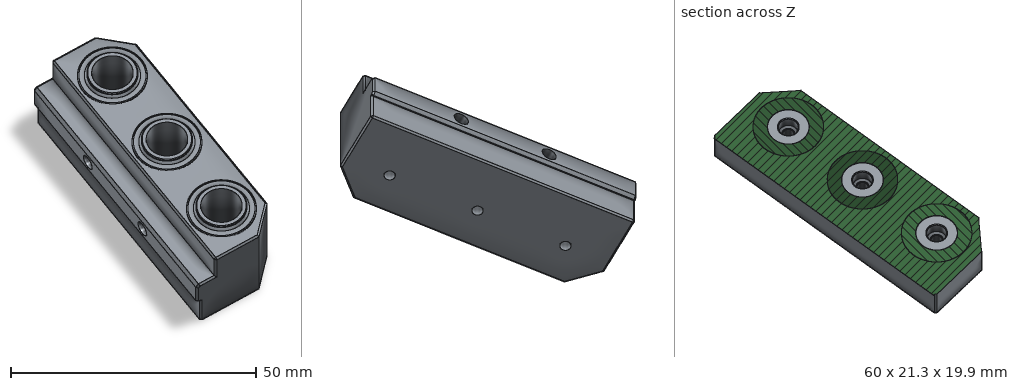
import cadquery as cq

length = 60.0
depth = 21.25
block_height = 19.0
edge_chamfer = 0.4
corner_cut = 6.0
front_y = -depth / 2
back_y = depth / 2

upper_setback = 4.5
lower_setback = 0.9
upper_front_y = front_y + upper_setback
lower_front_y = front_y + lower_setback
rail_bottom = 7.0
rail_top = 13.0
rail_chamfer = 0.65

bushing_pitch = length / 3
bushing_inset = 8.5
bushing_y = back_y - bushing_inset
flange_diameter = 14.3
flange_chamfer = 0.3
collar_base_diameter = 11.45
collar_diameter = 10.45
collar_height = 0.95
collar_cone_height = (collar_base_diameter - collar_diameter) / 2
rim_chamfer = 0.2
bore_diameter = 8.45
bushing_depth = 12.0

counterbore_diameter = 4.1
counterbore_depth = 2.4
through_diameter = 2.3
hole_chamfer = 0.2

cross_hole_diameter = 3.2
cross_hole_z = (rail_bottom + rail_top) / 2

bushing_x_positions = [-bushing_pitch, 0.0, bushing_pitch]
cross_hole_x_positions = [-bushing_pitch / 2, bushing_pitch / 2]
pocket_floor_z = block_height - bushing_depth


def revolve_at_bushing(section, x):
    """Revolve a (radius, z) section about the axis of the bushing at x."""
    solid = cq.Workplane("XZ").polyline(section).close().revolve(360, (0, 0, 0), (0, 1, 0))
    return solid.translate((x, bushing_y, 0))


def make_block_blank():
    """Stepped side profile extruded along X, with cut corners and chamfered edges."""
    outline = [
        (back_y, 0),
        (back_y, block_height),
        (upper_front_y, block_height),
        (upper_front_y, rail_top),
        (front_y, rail_top),
        (front_y, rail_bottom),
        (lower_front_y, rail_bottom),
        (lower_front_y, 0),
    ]
    blank = cq.Workplane("YZ").polyline(outline).close().extrude(length / 2, both=True)

    blank = blank.edges("|Z and >Y").chamfer(corner_cut)

    blank = blank.faces("<Y").edges("|X").chamfer(rail_chamfer)

    rims = blank.faces(">Z or <Z").edges()
    ends = blank.faces("<X or >X").edges("not(|Z and >Y)")
    return rims.add(ends).chamfer(edge_chamfer)


def make_bushing_pocket(x):
    """Pocket for a bushing, with a counterbore and a through hole in its floor."""
    pocket_radius = flange_diameter / 2
    counterbore_radius = counterbore_diameter / 2
    through_radius = through_diameter / 2
    counterbore_floor_z = pocket_floor_z - counterbore_depth
    section = [
        (0, 0),
        (through_radius, 0),
        (through_radius, counterbore_floor_z - hole_chamfer),
        (through_radius + hole_chamfer, counterbore_floor_z),
        (counterbore_radius, counterbore_floor_z),
        (counterbore_radius, pocket_floor_z - hole_chamfer),
        (counterbore_radius + hole_chamfer, pocket_floor_z),
        (pocket_radius, pocket_floor_z),
        (pocket_radius, block_height),
        (0, block_height),
    ]
    return revolve_at_bushing(section, x)


def make_cross_hole(x):
    """Hole through the whole depth of the block at x."""
    start = cq.Workplane("XZ", origin=(x, back_y, cross_hole_z))
    return start.circle(cross_hole_diameter / 2).extrude(depth)


def make_block():
    block = make_block_blank()
    for x in bushing_x_positions:
        block = block.cut(make_bushing_pocket(x))
    for x in cross_hole_x_positions:
        block = block.cut(make_cross_hole(x))
    return block


def make_bushing(x):
    """Sleeve sunk flush into the block, with a raised conical collar round its bore."""
    rim_z = block_height + collar_height
    section = [
        (bore_diameter / 2, pocket_floor_z),
        (flange_diameter / 2, pocket_floor_z),
        (flange_diameter / 2, block_height - flange_chamfer),
        (flange_diameter / 2 - flange_chamfer, block_height),
        (collar_base_diameter / 2, block_height),
        (collar_diameter / 2, block_height + collar_cone_height),
        (collar_diameter / 2, rim_z - rim_chamfer),
        (collar_diameter / 2 - rim_chamfer, rim_z),
        (bore_diameter / 2, rim_z),
    ]
    return revolve_at_bushing(section, x)


block = make_block()
bushings = [make_bushing(x) for x in bushing_x_positions]

result = cq.Compound.makeCompound([block.val()] + [bushing.val() for bushing in bushings])